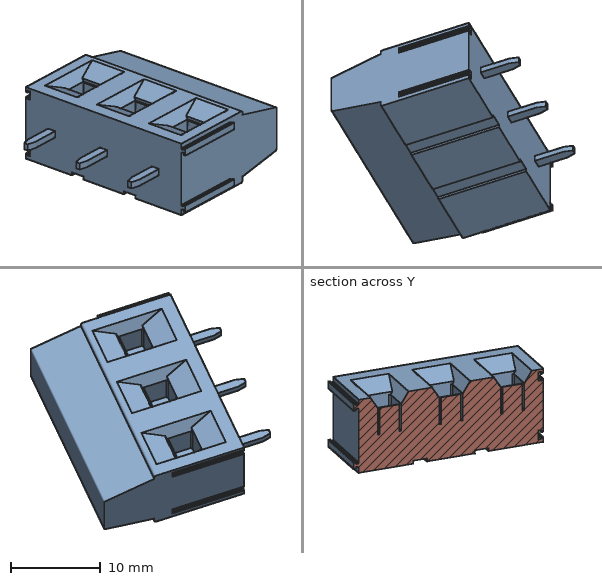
import cadquery as cq

pole_count = 3
pole_pitch = 7.5
body_width = 22.45
body_height = 8.9
body_depth = 16.78
middle_x = body_width / 2

shoulder_y = 10.76
shoulder_fillet = 0.28
top_step = 0.5
bottom_step = 0.7
top_drop = 1.87
bottom_rise = 1.7
rear_top_fillet = 0.2
rear_bottom_fillet = 0.28

funnel_center_y = 5.79
funnel_mouth_x = 4.6
funnel_mouth_y = 8.3
shaft_x = 2.81
shaft_y = 3.13
front_slope_depth = 1.04
side_slope_depth = 1.38
shaft_depth = 4.6
shaft_corner_chamfer = 0.18

pad_width = 2.45
pad_top_reach = 0.25
pad_foot_reach = 0.41

pin_width = 1.01
pin_thickness = 0.78
pin_length = 4.52
pin_tip_width = 0.5
pin_tip_length = 1.01
pin_z = 4.35

rail_length = 8.57
rail_reach = 23.05 - body_width
rail_zs = (0.97, body_height - 0.88)
rail_root_half = 0.3
rail_neck_half = 0.2
rail_head_half = 0.41
groove_mouth_half = 0.37
groove_neck_half = 0.25
groove_head_half = 0.5
mouth_flare = 0.12
neck_length = 0.25
rail_head_slant = 0.12

slot_width = 1.65
slot_depth = 0.37


def pole_positions(count):
    """X positions of evenly pitched features, centered on the housing."""
    return [middle_x + (i - (count - 1) / 2) * pole_pitch for i in range(count)]


def make_housing():
    """Side outline in the YZ plane, extruded across the housing width."""
    shoulder_top = (shoulder_y, body_height)
    rear_top = (body_depth, body_height - top_drop)
    rear_bottom = (body_depth, bottom_rise)
    shoulder_bottom = (shoulder_y, 0)
    outline = [
        (0, 0),
        (0, body_height),
        shoulder_top,
        (shoulder_y, body_height - top_step),
        rear_top,
        rear_bottom,
        (shoulder_y, bottom_step),
        shoulder_bottom,
    ]
    housing = cq.Workplane("YZ").polyline(outline).close().extrude(body_width)
    roundings = [
        (shoulder_top, shoulder_fillet),
        (shoulder_bottom, shoulder_fillet),
        (rear_top, rear_top_fillet),
        (rear_bottom, rear_bottom_fillet),
    ]
    for (y, z), radius in roundings:
        corner = cq.selectors.NearestToPointSelector((middle_x, y, z))
        housing = housing.edges(corner).fillet(radius)
    return housing


def make_wedge(across_plane, mouth, throat, depth, length):
    """Trapezoid that narrows downwards from Z = 0, extruded symmetrically to the given length."""
    outline = [(-mouth / 2, 0), (mouth / 2, 0), (throat / 2, -depth), (-throat / 2, -depth)]
    return cq.Workplane(across_plane).polyline(outline).close().extrude(length / 2, both=True)


def make_funnel():
    """Wire entry cavity, centered on the Z axis with its mouth at Z = 0."""
    side_taper = make_wedge("XZ", funnel_mouth_x, shaft_x, side_slope_depth, funnel_mouth_y)
    front_taper = make_wedge("YZ", funnel_mouth_y, shaft_y, front_slope_depth, funnel_mouth_x)
    throat = cq.Workplane("XY").rect(funnel_mouth_x, shaft_y).extrude(-side_slope_depth)
    funnel = side_taper.intersect(front_taper.union(throat))

    shaft = (
        cq.Workplane("XY")
        .workplane(offset=-side_slope_depth)
        .rect(shaft_x, shaft_y)
        .extrude(side_slope_depth - shaft_depth)
        .edges("|Z and <Y")
        .chamfer(shaft_corner_chamfer)
    )
    rear_wall = shaft_y / 2
    pad_outline = [
        (rear_wall, -side_slope_depth),
        (rear_wall - pad_top_reach, -side_slope_depth),
        (rear_wall - pad_foot_reach, -shaft_depth),
        (rear_wall, -shaft_depth),
    ]
    pad = cq.Workplane("YZ").polyline(pad_outline).close().extrude(pad_width / 2, both=True)
    return funnel.union(shaft.cut(pad))


def make_pin():
    """Flat pin running forwards from Y = 0, narrowing to its tip."""
    half = pin_width / 2
    tip_half = pin_tip_width / 2
    tip_start = pin_tip_length - pin_length
    outline = [
        (-half, 0),
        (-half, tip_start),
        (-tip_half, -pin_length),
        (tip_half, -pin_length),
        (half, tip_start),
        (half, 0),
    ]
    return cq.Workplane("XY").polyline(outline).close().extrude(pin_thickness / 2, both=True)


def make_rail(root_half, neck_half, head_half, head_slant):
    """Rail with a flared root, a neck and a wider head, running along Y and reaching towards +X."""
    upper = [
        (0, root_half),
        (mouth_flare, neck_half),
        (neck_length, neck_half),
        (neck_length + head_slant, head_half),
        (rail_reach, head_half),
    ]
    lower = [(x, -z) for x, z in reversed(upper)]
    return cq.Workplane("XZ").polyline(upper + lower).close().extrude(-rail_length)


result = make_housing()

funnel = make_funnel()
pin = make_pin()
for x in pole_positions(pole_count):
    result = result.cut(funnel.translate((x, funnel_center_y, body_height)))
    result = result.union(pin.translate((x, 0, pin_z)))

groove = make_rail(groove_mouth_half, groove_neck_half, groove_head_half, 0)
rail = make_rail(rail_root_half, rail_neck_half, rail_head_half, rail_head_slant)
for z in rail_zs:
    result = result.cut(groove.translate((0, 0, z)))
    result = result.union(rail.translate((body_width, 0, z)))

slot = cq.Workplane("XZ").rect(slot_width, 2 * slot_depth).extrude(-body_depth)
for x in pole_positions(pole_count - 1):
    result = result.cut(slot.translate((x, 0, 0)))